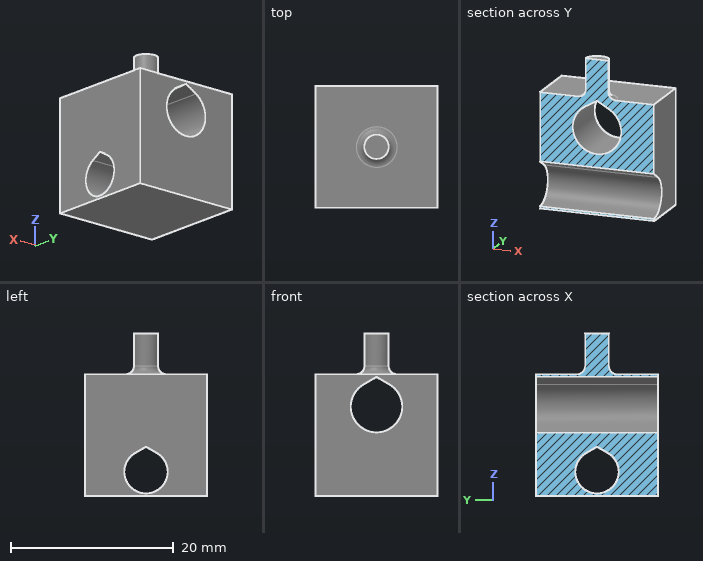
import cadquery as cq
import math

cube_side = 15.0

pin_diameter = 3.0
pin_height = 5.0
pin_fillet = 1.0

upper_bore_diameter = 6.3
upper_bore_height = 11.0
lower_bore_diameter = 5.3
lower_bore_height = 3.0
roof_slope = math.radians(30)


def teardrop_bore(plane, diameter, height):
    """Round bore with a pointed roof of two flats tangent to the circle."""
    radius = diameter / 2
    tangent_x = radius * math.sin(roof_slope)
    tangent_z = height + radius * math.cos(roof_slope)
    peak_z = height + radius / math.cos(roof_slope)
    return (
        cq.Workplane(plane)
        .moveTo(-tangent_x, tangent_z)
        .threePointArc((0, height - radius), (tangent_x, tangent_z))
        .lineTo(0, peak_z)
        .close()
        .extrude(cube_side, both=True)
    )


def filleted_pin():
    """Revolved pin whose foot flares into the cube top with a concave arc."""
    pin_radius = pin_diameter / 2
    foot_radius = pin_radius + pin_fillet
    arc_reach = pin_fillet * (1 - math.sqrt(0.5))
    return (
        cq.Workplane("XZ", origin=(0, 0, cube_side))
        .lineTo(foot_radius, 0)
        .threePointArc((pin_radius + arc_reach, arc_reach), (pin_radius, pin_fillet))
        .lineTo(pin_radius, pin_height)
        .lineTo(0, pin_height)
        .close()
        .revolve(360, (0, 0, 0), (0, 1, 0))
    )


cube = cq.Workplane("XY").box(cube_side, cube_side, cube_side, centered=(True, True, False))
upper_bore = teardrop_bore("XZ", upper_bore_diameter, upper_bore_height)
lower_bore = teardrop_bore("YZ", lower_bore_diameter, lower_bore_height)

result = cube.union(filleted_pin()).cut(upper_bore).cut(lower_bore)